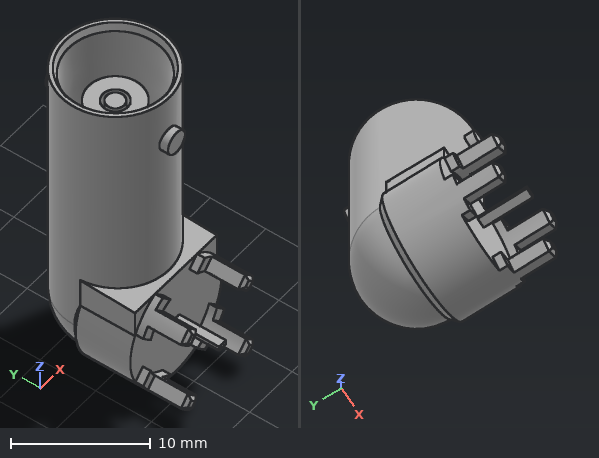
import cadquery as cq


overall_height = 28.1
base_diameter = 10.75
base_radius = base_diameter / 2

barrel_radius = 4.83
barrel_top = overall_height - base_radius
bore_floor_radius = 4.02
lip_radius = 4.47
lip_depth = 0.62
bore_mouth_radius = 4.2
bore_depth = 8.43
inner_bore_radius = 3.3
inner_bore_depth = 9.27
insulator_radius = 2.4
insulator_depth = 3.4
contact_hole_radius = 1.1
contact_radius = 0.8
contact_hole_depth = 1.7

peg_height = 18.5
peg_radius = 1.0
peg_reach = 5.5

base_face = 5.45
base_chamfer = base_radius - barrel_radius
shoulder_back = 0.53
shoulder_back_height = 5.0
shoulder_front_height = 4.75

leg_angles = (45, 135, 225, 315)
leg_inner_radius = 4.22
pad_width = 3.25
pad_thickness = 0.7
leg_width = 1.32
leg_tip = 9.45
leg_chamfer = 0.3
pin_width = 0.81
pin_thickness = 0.4
pin_tip = 9.65


def cylinder_z(radius, bottom, top):
    return cq.Workplane("XY").workplane(offset=bottom).circle(radius).extrude(top - bottom)


def cylinder_y(radius, start, end):
    """Cylinder on the base axis between two distances toward -Y."""
    return cq.Workplane("XZ").workplane(offset=start).circle(radius).extrude(end - start)


def make_elbow():
    """Barrel closed by a ball-shaped corner."""
    return cylinder_z(barrel_radius, 0, barrel_top).union(cq.Workplane("XY").sphere(barrel_radius))


def make_side_profile(points):
    """Closed outline in the YZ plane."""
    return cq.Workplane("YZ").polyline(points).close()


def make_base():
    """Round base, chamfered at the back, with square shoulders under a sloping top."""
    drum = cylinder_y(base_radius, 0, base_face).faces(">Y").chamfer(base_chamfer)
    shoulder = (
        make_side_profile([
            (-shoulder_back, 0),
            (-shoulder_back, shoulder_back_height),
            (-base_face, shoulder_front_height),
            (-base_face, 0),
        ])
        .extrude(barrel_radius, both=True)
    )
    above_shoulder = (
        make_side_profile([
            (0, base_radius),
            (0, shoulder_back_height),
            (-shoulder_back, shoulder_back_height),
            (-base_face, shoulder_front_height),
            (-base_face, base_radius),
        ])
        .extrude(base_radius, both=True)
    )
    return drum.cut(above_shoulder).union(shoulder)


def make_pegs():
    """Two opposite bayonet pegs; the bore later trims their inner ends."""
    return (
        cq.Workplane("XZ")
        .center(0, peg_height)
        .circle(peg_radius)
        .extrude(peg_reach, both=True)
    )


def make_bore():
    """Stepped annular cavity that leaves the insulator and the centre contact standing."""
    bore = (
        cq.Workplane("XZ")
        .polyline([
            (0, barrel_top),
            (lip_radius, barrel_top),
            (bore_mouth_radius, barrel_top - lip_depth),
            (bore_floor_radius, barrel_top - bore_depth),
            (0, barrel_top - bore_depth),
        ])
        .close()
        .revolve(360, (0, 0), (0, 1))
    )
    inner_bore = cylinder_z(inner_bore_radius, barrel_top - inner_bore_depth, barrel_top)
    insulator_top = barrel_top - insulator_depth
    insulator = cylinder_z(insulator_radius, barrel_top - inner_bore_depth, insulator_top)
    hole_bottom = insulator_top - contact_hole_depth
    contact_hole = cylinder_z(contact_hole_radius, hole_bottom, insulator_top)
    contact = cylinder_z(contact_radius, hole_bottom, insulator_top)
    return bore.union(inner_bore).cut(insulator).union(contact_hole).cut(contact)


def make_ring_block(width, end):
    """Parallel-sided block between the inner and outer leg radii, standing on the base face."""
    ring = cylinder_y(base_radius, base_face, end).cut(cylinder_y(leg_inner_radius, base_face, end))
    strip = (
        cq.Workplane("XZ")
        .workplane(offset=base_face)
        .center(base_radius / 2, 0)
        .rect(base_radius, width)
        .extrude(end - base_face)
    )
    return ring.intersect(strip)


def make_leg(angle):
    """Standoff pad and chamfered leg, placed around the base axis."""
    pad = make_ring_block(pad_width, base_face + pad_thickness)
    leg = make_ring_block(leg_width, leg_tip).faces("<Y").chamfer(leg_chamfer)
    return pad.union(leg).rotate((0, 0, 0), (0, 1, 0), angle)


def make_contact_pin():
    return (
        cq.Workplane("XZ")
        .workplane(offset=base_face)
        .rect(pin_width, pin_thickness)
        .extrude(pin_tip - base_face)
    )


result = make_elbow().union(make_base()).union(make_pegs()).cut(make_bore()).union(make_contact_pin())
for leg_angle in leg_angles:
    result = result.union(make_leg(leg_angle))